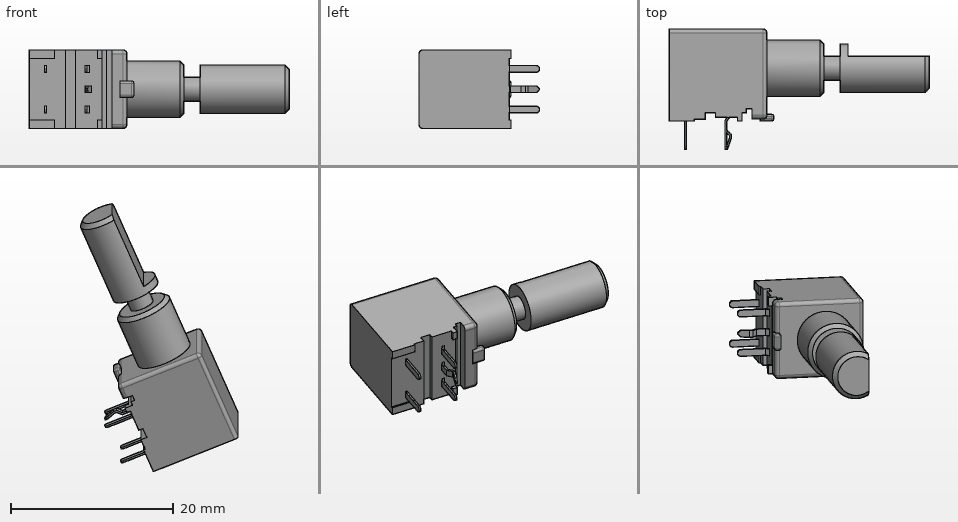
import cadquery as cq
import math


case_length = 12.05
case_half_width = 4.85
case_edge_radius = 0.5
case_back = -case_length
foot_y = -6.5
rear_base_y = -6.3
front_base_y = -6.05
groove_y = -5.5
slot_y = -5.0
flange_y = -6.25
foot_width = 1.07
rear_foot_end = case_back + 3.1
groove_start = case_back + 4.45
groove_end = case_back + 5.7
front_foot_start = case_back + 8.4
front_foot_end = case_back + 9.0
slot_start = case_back + 9.5
flange_thickness = 1.85

tab_width = 2.05
tab_top_y = -5.65
tab_back = -0.85
tab_front = 0.85
tab_radius = 0.3

bushing_diameter = 7.0
bushing_length = 7.0
neck_diameter = 3.0
neck_length = 2.0
shaft_diameter = 6.0
shaft_length = 11.0
collar_length = 1.0
flat_height = 1.5
bushing_chamfer = 0.5
shaft_chamfer = 0.55

pin_tip_y = -10.0
pin_root_y = -5.5
pin_width = 0.85
pin_thickness = 0.25
pin_tip_radius = 0.4
snap_tip_chamfer = 0.35
pin_row_offset = 2.5
rear_pin_x = case_back + 2.0
pin_row_pitch = 5.0
front_pin_x = rear_pin_x + pin_row_pitch
jog_offset = 0.3
jog_top_y = front_base_y
jog_bottom_y = -6.45
bulge_offset = 0.55
bulge_start_y = -7.68
bulge_crest_start_y = -8.22
bulge_crest_end_y = -8.58
snap_tip_offset = 0.06


def box(x_range, y_range, z_range):
    """Box from its limits along each axis."""
    size = [high - low for low, high in (x_range, y_range, z_range)]
    corner = (x_range[0], y_range[0], z_range[0])
    return cq.Workplane("XY").box(*size, centered=False).translate(corner)


def make_case():
    """Stepped case body with rounded edges and recessed faces between its corner feet."""
    flange_start = -flange_thickness
    outline = [
        (case_back, case_half_width),
        (case_back, foot_y),
        (rear_foot_end, foot_y),
        (rear_foot_end, rear_base_y),
        (groove_start, rear_base_y),
        (groove_start, groove_y),
        (groove_end, groove_y),
        (groove_end, front_base_y),
        (front_foot_start, front_base_y),
        (front_foot_start, foot_y),
        (front_foot_end, foot_y),
        (front_foot_end, groove_y),
        (slot_start, groove_y),
        (slot_start, slot_y),
        (flange_start, slot_y),
        (flange_start, flange_y),
        (0, flange_y),
        (0, case_half_width),
    ]
    case = (
        cq.Workplane("XY")
        .workplane(offset=-case_half_width)
        .polyline(outline)
        .close()
        .extrude(2 * case_half_width)
    )
    between_feet = case_half_width - foot_width
    z_range = (-between_feet, between_feet)
    case = case.cut(box((case_back, rear_foot_end), (foot_y, rear_base_y), z_range))
    case = case.cut(box((front_foot_start, front_foot_end), (foot_y, front_base_y), z_range))

    case = case.faces(">Y").edges("|X").fillet(case_edge_radius)
    lower_corner = cq.selectors.BoxSelector(
        (flange_start, flange_y - case_edge_radius, -2 * case_half_width),
        (0, flange_y + case_edge_radius, 2 * case_half_width),
    )
    case = case.edges("|X").edges(lower_corner).fillet(case_edge_radius)
    return case.faces(">X").edges().fillet(case_edge_radius)


def make_tab():
    """Rounded tab that sticks out past the mounting face."""
    tab = box((tab_back, tab_front), (foot_y, tab_top_y), (-tab_width / 2, tab_width / 2))
    return tab.edges("|X or >X").fillet(tab_radius)


def rod(start_x, length, diameter):
    """Round bar along the shaft axis."""
    return cq.Workplane("YZ").workplane(offset=start_x).circle(diameter / 2).extrude(length)


def make_bushing_and_shaft():
    """Bushing, thin neck and D-shaped shaft with a round collar."""
    shaft_start = bushing_length + neck_length
    shaft_end = shaft_start + shaft_length
    radius = shaft_diameter / 2
    bushing = rod(0, bushing_length, bushing_diameter).faces(">X").chamfer(bushing_chamfer)
    neck = rod(0, shaft_start, neck_diameter)
    shaft = rod(shaft_start, shaft_length, shaft_diameter).faces(">X").chamfer(shaft_chamfer)
    flat_start = shaft_start + collar_length
    shaft = shaft.cut(box((flat_start, shaft_end), (flat_height, radius), (-radius, radius)))
    return bushing.union(neck).union(shaft)


def strip(path):
    """Bent strip of pin thickness that follows a centre line in XY."""
    normals = []
    for (x0, y0), (x1, y1) in zip(path, path[1:]):
        length = math.hypot(x1 - x0, y1 - y0)
        normals.append(((y1 - y0) / length, (x0 - x1) / length))
    left = []
    right = []
    for (x, y), before, after in zip(path, normals[:1] + normals, normals + normals[-1:]):
        mitre = pin_thickness / 2 / (1 + before[0] * after[0] + before[1] * after[1])
        dx = (before[0] + after[0]) * mitre
        dy = (before[1] + after[1]) * mitre
        left.append((x - dx, y - dy))
        right.append((x + dx, y + dy))
    return cq.Workplane("XY").polyline(left + right[::-1]).close().extrude(pin_width / 2, both=True)


def make_pin(path, rounded):
    """Strip trimmed to the pin length, with a rounded or a chamfered tip."""
    xs = [x for x, y in path]
    x_range = (min(xs) - pin_thickness, max(xs) + pin_thickness)
    envelope = box(x_range, (pin_tip_y, pin_root_y), (-pin_width / 2, pin_width / 2))
    tip_edges = envelope.faces("<Y").edges("|X")
    if rounded:
        envelope = tip_edges.fillet(pin_tip_radius)
    else:
        envelope = tip_edges.chamfer(snap_tip_chamfer)
    return strip(path).intersect(envelope)


def make_pins():
    """Straight rear pins, jogged front pins and the snap-in pin between the front ones."""
    rear_pin = make_pin([(rear_pin_x, pin_root_y), (rear_pin_x, pin_tip_y)], rounded=True)
    jog = [
        (front_pin_x + jog_offset, pin_root_y),
        (front_pin_x + jog_offset, jog_top_y),
        (front_pin_x, jog_bottom_y),
    ]
    front_pin = make_pin(jog + [(front_pin_x, pin_tip_y)], rounded=True)

    last_leg_slope = (bulge_offset - snap_tip_offset) / (bulge_crest_end_y - pin_tip_y)
    overrun = pin_thickness
    snap_path = jog + [
        (front_pin_x, bulge_start_y),
        (front_pin_x + bulge_offset, bulge_crest_start_y),
        (front_pin_x + bulge_offset, bulge_crest_end_y),
        (front_pin_x + snap_tip_offset - overrun * last_leg_slope, pin_tip_y - overrun),
    ]
    pins = make_pin(snap_path, rounded=False)
    for z in (-pin_row_offset, pin_row_offset):
        pins = pins.union(rear_pin.translate((0, 0, z)))
        pins = pins.union(front_pin.translate((0, 0, z)))
    return pins


result = make_case().union(make_tab()).union(make_bushing_and_shaft()).union(make_pins())